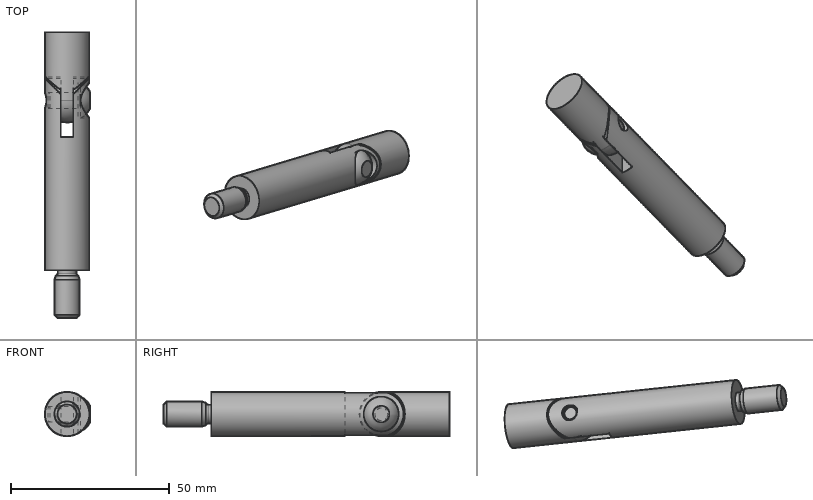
import cadquery as cq
import math

rod_diameter = 14.0
rod_radius = rod_diameter / 2

overall_length = 90.0
stud_length = 15.0
eye_length = 21.5
shoulder_y = eye_length - overall_length + stud_length

tongue_width = 3.8
slot_depth = 11.5
tip_radius = rod_radius
tip_clearance = 0.5

pin_diameter = 5.0
pin_end_chamfer = 0.5
pin_end_x = -6.0
head_radius = 5.5
head_seat_x = 3.3
head_top_x = 7.3
head_edge_x = 4.2
head_top_radius = 2.6
head_dome_radius = 6.0

stud_radius = 4.0
stud_chamfer = 1.0
neck_radius = 3.0
neck_length = 0.9
flare_radius = 0.8
flare_angle = math.radians(75)
run_out_length = 2.9


def x_cylinder(radius, x_start, x_end):
    """Cylinder on the pin axis."""
    return cq.Workplane("YZ").workplane(offset=x_start).circle(radius).extrude(x_end - x_start)


def rod(y_start, y_end):
    """Round rod along Y, centred on the origin axis."""
    return cq.Workplane("XZ").workplane(offset=-y_end).circle(rod_radius).extrude(y_end - y_start)


def slab(width, y_start, y_end):
    """Flat block across the rod, centred on X."""
    return cq.Workplane("XY").box(width, y_end - y_start, rod_diameter).translate(
        (0, (y_start + y_end) / 2, 0)
    )


def make_pin():
    """Plain pin with a chamfered end and a flat-topped domed head."""
    pin_radius = pin_diameter / 2
    flank_x = head_top_x - head_edge_x
    flank_r = head_radius - head_top_radius
    flank = math.hypot(flank_x, flank_r)
    bulge = head_dome_radius - math.sqrt(head_dome_radius**2 - (flank / 2) ** 2)
    dome_point = (
        (head_edge_x + head_top_x) / 2 + bulge * flank_r / flank,
        (head_radius + head_top_radius) / 2 + bulge * flank_x / flank,
    )
    profile = (
        cq.Workplane("XY")
        .moveTo(pin_end_x, 0)
        .lineTo(pin_end_x, pin_radius - pin_end_chamfer)
        .lineTo(pin_end_x + pin_end_chamfer, pin_radius)
        .lineTo(head_seat_x, pin_radius)
        .lineTo(head_seat_x, head_radius)
        .lineTo(head_edge_x, head_radius)
        .threePointArc(dome_point, (head_top_x, head_top_radius))
        .lineTo(head_top_x, 0)
        .close()
    )
    return profile.revolve(360, (0, 0, 0), (1, 0, 0))


def make_eye():
    """Rod end with a ball-ended tongue that fits the fork slot."""
    tongue_space = slab(tongue_width, -tip_radius, eye_length)
    joint_space = x_cylinder(tip_radius + tip_clearance, -rod_radius, rod_radius)
    ball_ended_rod = (
        cq.Workplane("XY")
        .moveTo(0, -tip_radius)
        .threePointArc((tip_radius * math.sqrt(0.5), -tip_radius * math.sqrt(0.5)), (tip_radius, 0))
        .lineTo(rod_radius, eye_length)
        .lineTo(0, eye_length)
        .close()
        .revolve(360, (0, 0, 0), (0, 1, 0))
    )
    eye = ball_ended_rod.cut(joint_space.cut(tongue_space))
    return eye.cut(x_cylinder(pin_diameter / 2, -rod_radius, rod_radius))


def make_stud():
    """Stud below the shoulder: neck, concave flare, run-out cone and chamfered tip."""
    half_angle = flare_angle / 2
    flare_centre_y = shoulder_y - neck_length
    flare_centre_r = neck_radius + flare_radius

    def flare_point(angle):
        return (
            flare_centre_r - flare_radius * math.cos(angle),
            flare_centre_y - flare_radius * math.sin(angle),
        )

    stud_end_y = shoulder_y - stud_length
    profile = (
        cq.Workplane("XY")
        .moveTo(0, shoulder_y)
        .lineTo(neck_radius, shoulder_y)
        .lineTo(neck_radius, flare_centre_y)
        .threePointArc(flare_point(half_angle), flare_point(flare_angle))
        .lineTo(stud_radius, shoulder_y - run_out_length)
        .lineTo(stud_radius, stud_end_y + stud_chamfer)
        .lineTo(stud_radius - stud_chamfer, stud_end_y)
        .lineTo(0, stud_end_y)
        .close()
    )
    return profile.revolve(360, (0, 0, 0), (0, 1, 0))


def make_fork():
    """Slotted rod with rounded tips, pin hole, head counterbore and stud."""
    rounded_tips = rod(0, tip_radius).intersect(x_cylinder(tip_radius, -rod_radius, rod_radius))
    body = rod(shoulder_y, 0).union(rounded_tips)
    body = body.cut(slab(tongue_width, -slot_depth, tip_radius))
    body = body.cut(x_cylinder(pin_diameter / 2, -rod_radius, rod_radius))
    body = body.cut(x_cylinder(head_radius, head_seat_x, rod_radius))
    return body.union(make_stud())


fork = make_fork()
eye = make_eye()
pin = make_pin()

result = cq.Compound.makeCompound([fork.solids().val(), eye.solids().val(), pin.val()])